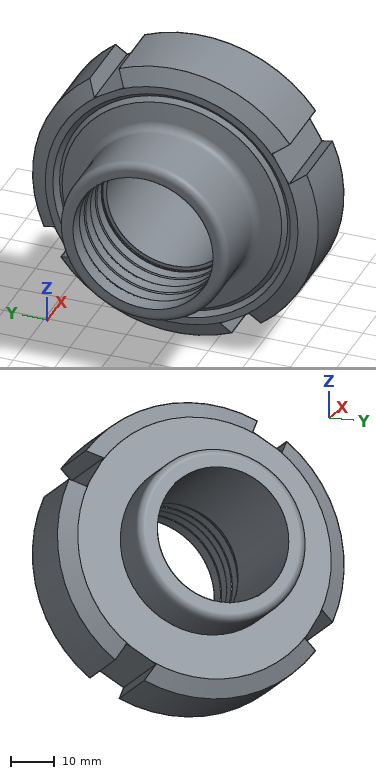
import cadquery as cq
import math

total_length = 51.0
sleeve_radius = 41.0 / 2
end_rounding = 1.7

nut_radius = 34.9
nut_start = 18.1
nut_end = 39.0
nut_face_radius = 30.85
nut_chamfer_length = 2.4
slot_width = 8.25
slot_floor_radius = 30.7
slot_count = 4
first_slot_angle = 60.0

nut_mouth_radius = 58.0 / 2
ring_bottom_radius = 55.7 / 2
ring_bottom_x = 19.3

flange_rim_radius = 26.8
flange_rim_x = 18.2
fillet_end_radius = 22.55
fillet_end_x = 17.25
fillet_start_x = 14.95

bore_radius = 34.2 / 2
bore_depth = 17.8
lip_radius = 16.9
lip_depth = 18.3
passage_radius = 32.0 / 2
groove_radius = 34.8 / 2
groove_width = 4.0
groove_starts = (4.05, 11.0)


def cylinder(radius, start, end):
    """Cylinder along X between two positions."""
    return cq.Workplane("YZ").workplane(offset=start).circle(radius).extrude(end - start)


def groove_cutter(start):
    """Groove with a square left wall and a right wall sloping at 45 degrees."""
    end = start + groove_width
    slope_length = groove_radius - bore_radius
    return (
        cq.Workplane("XY")
        .moveTo(start, 0)
        .lineTo(start, groove_radius)
        .lineTo(end - slope_length, groove_radius)
        .lineTo(end, bore_radius)
        .lineTo(end, 0)
        .close()
        .revolve(360, (0, 0, 0), (1, 0, 0))
    )


def make_body():
    """Sleeve, flange and nut turned as one outline of X and radius."""
    slope_angle = math.atan2(flange_rim_radius - fillet_end_radius, flange_rim_x - fillet_end_x)
    fillet_radius = (fillet_end_x - fillet_start_x) / math.sin(slope_angle)
    fillet_mid = (
        fillet_start_x + fillet_radius * math.sin(slope_angle / 2),
        sleeve_radius + fillet_radius * (1 - math.cos(slope_angle / 2)),
    )
    round_offset = end_rounding * (1 - math.sqrt(0.5))
    return (
        cq.Workplane("XY")
        .lineTo(0, sleeve_radius - end_rounding)
        .threePointArc((round_offset, sleeve_radius - round_offset), (end_rounding, sleeve_radius))
        .lineTo(fillet_start_x, sleeve_radius)
        .threePointArc(fillet_mid, (fillet_end_x, fillet_end_radius))
        .lineTo(flange_rim_x, flange_rim_radius)
        .lineTo(ring_bottom_x, ring_bottom_radius)
        .lineTo(nut_start, nut_mouth_radius)
        .lineTo(nut_start, nut_face_radius)
        .lineTo(nut_start + nut_chamfer_length, nut_radius)
        .lineTo(nut_end - nut_chamfer_length, nut_radius)
        .lineTo(nut_end, nut_face_radius)
        .lineTo(nut_end, sleeve_radius)
        .lineTo(total_length - end_rounding, sleeve_radius)
        .threePointArc(
            (total_length - round_offset, sleeve_radius - round_offset),
            (total_length, sleeve_radius - end_rounding),
        )
        .lineTo(total_length, 0)
        .close()
        .revolve(360, (0, 0, 0), (1, 0, 0))
    )


def cut_slots(body):
    """Cut the flat-bottomed spanner slots through the rim of the nut."""
    slot = cq.Workplane("XY").box(
        nut_end - nut_start, slot_width, nut_radius, centered=(False, True, False)
    ).translate((nut_start, 0, slot_floor_radius))
    for index in range(slot_count):
        turn = first_slot_angle - 90 + index * 360 / slot_count
        body = body.cut(slot.rotate((0, 0, 0), (1, 0, 0), turn))
    return body


def cut_bore(body):
    """Cut the stepped through bore, its lip and the grooves in its wider part."""
    body = body.cut(cylinder(passage_radius, 0, total_length))
    body = body.cut(cylinder(lip_radius, 0, lip_depth))
    body = body.cut(cylinder(bore_radius, 0, bore_depth))
    for start in groove_starts:
        body = body.cut(groove_cutter(start))
    return body


result = cut_bore(cut_slots(make_body()))